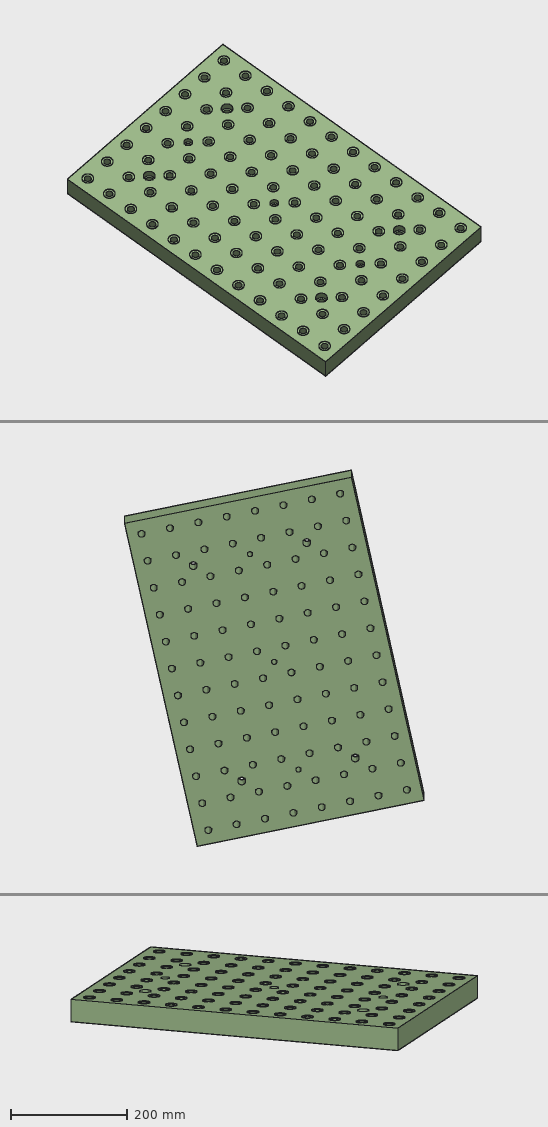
import cadquery as cq

length = 600
width = length * 2 / 3
thickness = length / 15

columns = 12
rows = 8
pitch = length / columns
mount_spacing_x = 8 * pitch
mount_spacing_y = 4 * pitch
dowel_count = 3
dowel_spacing = mount_spacing_x / (dowel_count - 1)

dowel_bore = 9.0
dowel_recess = 15.0
dowel_recess_depth = 9.0

grid_bore = 12
grid_recess = pitch * 2 / 5
grid_recess_depth = thickness / 40

mount_bore = 1.5 * dowel_bore
mount_recess = grid_recess
mount_recess_depth = 12.5


def cut_stepped_holes(body, spacing, count, bore, recess, recess_depth):
    """Cut a centred (X, Y) array of through holes with a wider recess at the top."""
    return (
        body.faces(">Z")
        .workplane(origin=(0, 0, thickness))
        .rarray(*spacing, *count)
        .cboreHole(bore, recess, recess_depth)
    )


plate = cq.Workplane("XY").box(length, width, thickness, centered=(True, True, False))

plate = cut_stepped_holes(
    plate, (pitch, pitch), (columns, rows), grid_bore, grid_recess, grid_recess_depth
)
plate = cut_stepped_holes(
    plate, (mount_spacing_x, mount_spacing_y), (2, 2), mount_bore, mount_recess, mount_recess_depth
)
plate = cut_stepped_holes(
    plate, (dowel_spacing, pitch), (dowel_count, 1), dowel_bore, dowel_recess, dowel_recess_depth
)

result = plate